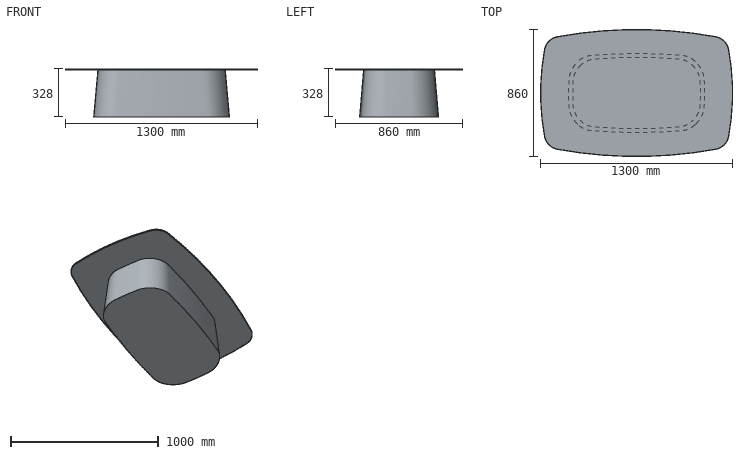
import cadquery as cq

TOP_LENGTH = 1300.0
TOP_WIDTH = 860.0
TOP_THICKNESS = 10.0
TOP_CORNER_X = 608.0
TOP_CORNER_Y = 367.0
TOP_CORNER_RADIUS = 110.0

TOTAL_HEIGHT = 328.0
PEDESTAL_HEIGHT = TOTAL_HEIGHT - TOP_THICKNESS

FLOOR_LENGTH = 920.0
FLOOR_WIDTH = 535.0
FLOOR_SIDE_HALF = 296.0
FLOOR_END_HALF = 91.0

UPPER_LENGTH = 863.0
UPPER_WIDTH = 483.0
UPPER_SIDE_HALF = 272.0
UPPER_END_HALF = 87.0

STRIP_WIDTH = 20.0
SIDE_BOW_RADIUS = 3500.0
END_BOW_RADIUS = 1500.0
CORNER_FULLNESS = 0.49


def bow_drop(radius, distance):
    """How far an arc falls away from its crown at a given distance from it."""
    return radius - (radius**2 - distance**2) ** 0.5


def bow_slope(radius, distance):
    """Inward slope of an arc at a given distance from its crown."""
    return distance / (radius**2 - distance**2) ** 0.5


def make_table_top():
    half_length = TOP_LENGTH / 2
    half_width = TOP_WIDTH / 2
    x, y = TOP_CORNER_X, TOP_CORNER_Y
    slab = (
        cq.Workplane("XY", origin=(0, 0, PEDESTAL_HEIGHT))
        .moveTo(-x, -y)
        .threePointArc((0, -half_width), (x, -y))
        .threePointArc((half_length, 0), (x, y))
        .threePointArc((0, half_width), (-x, y))
        .threePointArc((-half_length, 0), (-x, -y))
        .close()
        .extrude(TOP_THICKNESS)
    )
    return slab.edges("|Z").fillet(TOP_CORNER_RADIUS)


def pedestal_outline(z, length, width, side_half, end_half):
    """Closed wire at height z: bowed sides and ends joined by smooth corners."""
    strip_middle = side_half + STRIP_WIDTH / 2
    strip_end = side_half + STRIP_WIDTH

    def side_point(x, sign_y):
        return cq.Vector(x, sign_y * (width / 2 - bow_drop(SIDE_BOW_RADIUS, x)), z)

    def end_point(y, sign_x):
        return cq.Vector(sign_x * (length / 2 - bow_drop(END_BOW_RADIUS, y)), y, z)

    def side_arc(x_values, sign_y):
        return cq.Edge.makeThreePointArc(*[side_point(x, sign_y) for x in x_values])

    def end_arc(sign_x):
        return cq.Edge.makeThreePointArc(*[end_point(y, sign_x) for y in (-end_half, 0, end_half)])

    def corner(sign_x, sign_y):
        start = side_point(sign_x * strip_end, sign_y)
        finish = end_point(sign_y * end_half, sign_x)
        side_run = cq.Vector(sign_x, -sign_y * bow_slope(SIDE_BOW_RADIUS, strip_end), 0)
        end_run = cq.Vector(-sign_x * bow_slope(END_BOW_RADIUS, end_half), sign_y, 0)
        start_handle = start + side_run * (CORNER_FULLNESS * abs(finish.x - start.x))
        finish_handle = finish + end_run * (CORNER_FULLNESS * abs(start.y - finish.y))
        return cq.Edge.makeBezier([start, start_handle, finish_handle, finish])

    edges = []
    for sign in (-1, 1):
        edges.append(side_arc((-side_half, 0, side_half), sign))
        edges.append(end_arc(sign))
    for sign_x in (-1, 1):
        for sign_y in (-1, 1):
            strip = [sign_x * x for x in (side_half, strip_middle, strip_end)]
            edges.append(side_arc(strip, sign_y))
            edges.append(corner(sign_x, sign_y))
    return cq.Wire.assembleEdges(edges)


def make_pedestal():
    floor = pedestal_outline(0, FLOOR_LENGTH, FLOOR_WIDTH, FLOOR_SIDE_HALF, FLOOR_END_HALF)
    upper = pedestal_outline(PEDESTAL_HEIGHT, UPPER_LENGTH, UPPER_WIDTH, UPPER_SIDE_HALF, UPPER_END_HALF)
    return cq.Workplane(cq.Solid.makeLoft([floor, upper], True))


table_top = make_table_top()
pedestal = make_pedestal()

result = cq.Compound.makeCompound([table_top.val(), pedestal.val()])